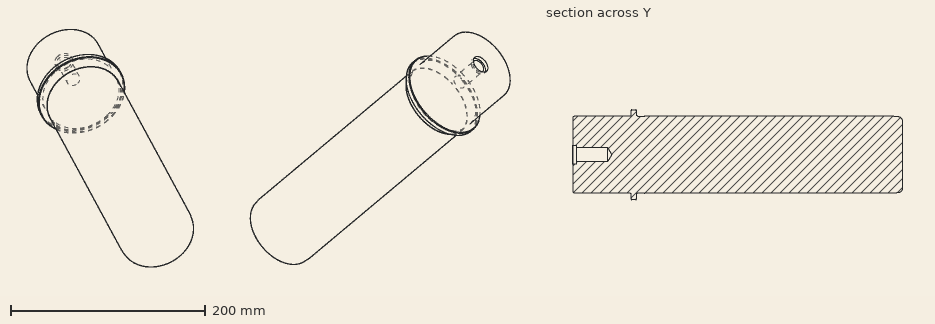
import cadquery as cq
import math

total_length = 340.0
head_lead_length = 9.5
flange_start = 60.0
flange_width = 6.0
relief_end = 74.0
tail_lead_length = 11.0

body_radius = 40.0
flange_radius = 46.5
relief_radius = 39.5

head_round = 2.6
head_taper_angle = 0.5
tail_round = 5.5
tail_taper_angle = 6.0

flange_edge_chamfer = 0.8
flange_front_fillet = 0.8
flange_back_fillet = 2.0

counterbore_radius = 9.4
counterbore_depth = 4.0
bore_radius = 7.0
bore_depth = 36.0
drill_point_angle = 118.0

flange_end = flange_start + flange_width


def arc_point(center, radius, angle):
    """Point (x, r) on a circle, with the angle in degrees from the +X direction."""
    angle = math.radians(angle)
    return (center[0] + radius * math.cos(angle), center[1] + radius * math.sin(angle))


def lead_points(end_x, inward, lead_length, taper_angle, round_radius):
    """Taper end, arc middle and end-face edge of a lead; inward is the X direction into the part."""
    taper = math.radians(taper_angle)
    round_length = round_radius * (1 - math.sin(taper))
    taper_drop = (lead_length - round_length) * math.tan(taper)
    taper_end = (end_x + inward * round_length, body_radius - taper_drop)
    center = (end_x + inward * round_radius, taper_end[1] - round_radius * math.cos(taper))
    middle_angle = (90 - taper_angle) / 2
    if inward > 0:
        middle_angle = 180 - middle_angle
    return taper_end, arc_point(center, round_radius, middle_angle), (end_x, center[1])


def revolve_about_x(half_outline):
    return half_outline.close().revolve(360, (0, 0, 0), (1, 0, 0))


def make_pin():
    """Solid of revolution with tapered, rounded ends, a flange and a relief behind the flange."""
    head_taper_end, head_mid, head_edge = lead_points(
        0, 1, head_lead_length, head_taper_angle, head_round
    )
    tail_taper_end, tail_mid, tail_edge = lead_points(
        total_length, -1, tail_lead_length, tail_taper_angle, tail_round
    )
    front_center = (flange_start - flange_front_fillet, body_radius + flange_front_fillet)
    back_center = (flange_end + flange_back_fillet, relief_radius + flange_back_fillet)
    rim_radius = flange_radius - flange_edge_chamfer
    half_outline = (
        cq.Workplane("XZ")
        .lineTo(*head_edge)
        .threePointArc(head_mid, head_taper_end)
        .lineTo(head_lead_length, body_radius)
        .lineTo(front_center[0], body_radius)
        .threePointArc(arc_point(front_center, flange_front_fillet, -45), (flange_start, front_center[1]))
        .lineTo(flange_start, rim_radius)
        .lineTo(flange_start + flange_edge_chamfer, flange_radius)
        .lineTo(flange_end - flange_edge_chamfer, flange_radius)
        .lineTo(flange_end, rim_radius)
        .lineTo(flange_end, back_center[1])
        .threePointArc(arc_point(back_center, flange_back_fillet, 225), (back_center[0], relief_radius))
        .lineTo(relief_end, relief_radius)
        .lineTo(relief_end, body_radius)
        .lineTo(total_length - tail_lead_length, body_radius)
        .lineTo(*tail_taper_end)
        .threePointArc(tail_mid, tail_edge)
        .lineTo(total_length, 0)
    )
    return revolve_about_x(half_outline)


def make_bore():
    """Counterbore, bore and conical bottom, entering from the head end."""
    point_depth = bore_radius / math.tan(math.radians(drill_point_angle / 2))
    half_outline = (
        cq.Workplane("XZ")
        .lineTo(0, counterbore_radius)
        .lineTo(counterbore_depth, counterbore_radius)
        .lineTo(counterbore_depth, bore_radius)
        .lineTo(bore_depth, bore_radius)
        .lineTo(bore_depth + point_depth, 0)
    )
    return revolve_about_x(half_outline)


result = make_pin().cut(make_bore())